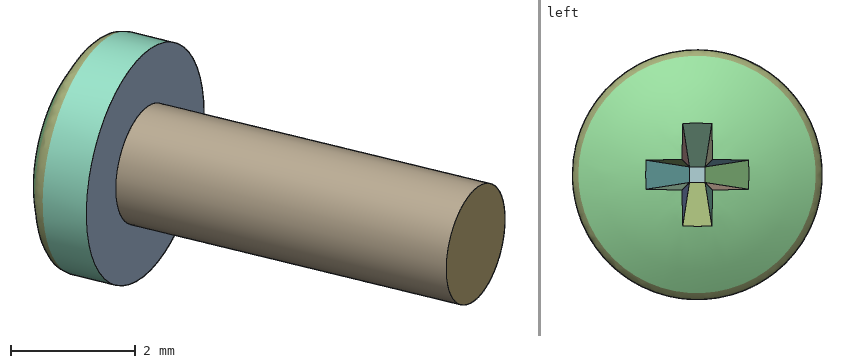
import cadquery as cq
import math

overall_length = 7.58
shank_radius = 1.0
head_radius = 2.0
head_height = 1.6
dome_radius = 3.245
rim_fillet = 0.24

recess_length = 1.82
recess_width = 0.49
recess_floor = 0.25
recess_depth = 1.0

apex_x = -head_height


def dome_x(radius):
    """Axial position of the spherical dome at a distance from the axis."""
    return apex_x + dome_radius - math.sqrt(dome_radius**2 - radius**2)


def make_head():
    """Domed cylinder with a rounded rim, its underside at X = 0."""
    middle_radius = head_radius / 2
    profile = (
        cq.Workplane("XY")
        .moveTo(0, 0)
        .lineTo(0, head_radius)
        .lineTo(dome_x(head_radius), head_radius)
        .threePointArc((dome_x(middle_radius), middle_radius), (apex_x, 0))
        .close()
    )
    head = profile.revolve(360, (0, 0, 0), (1, 0, 0))
    return head.faces("<X").edges("%CIRCLE").fillet(rim_fillet)


def make_recess_arm(size_y, size_z):
    """Tapered slot from the apex plane down to the square floor."""
    return (
        cq.Workplane("YZ", origin=(apex_x, 0, 0))
        .rect(size_y, size_z)
        .workplane(offset=recess_depth)
        .rect(recess_floor, recess_floor)
        .loft(ruled=True)
    )


recess_corner_radius = recess_width / math.sqrt(2)
shank_length = overall_length + dome_x(recess_corner_radius)
shank = cq.Workplane("YZ").circle(shank_radius).extrude(shank_length)

result = (
    make_head()
    .union(shank)
    .cut(make_recess_arm(recess_length, recess_width))
    .cut(make_recess_arm(recess_width, recess_length))
)